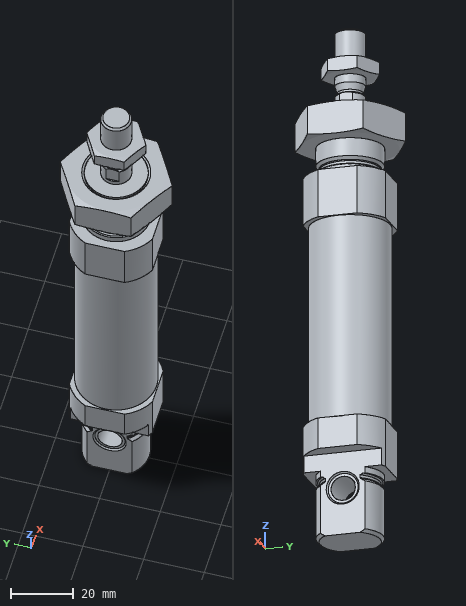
import cadquery as cq
import math


rod_tip = 171.5
rod_diameter = 10.0
tip_chamfer = 0.7
relief_diameter = 8.4
relief_taper_top = 153.3
relief_top = 151.1
relief_bottom = 150.2
shoulder_chamfer = 0.5
shank_top = relief_bottom - shoulder_chamfer
wrench_flat_width = 9.0
wrench_flat_bottom = 145.0

lock_nut_width = 17.0
lock_nut_bottom = 156.0
lock_nut_height = 5.0
lock_nut_face_diameter = 16.1

mount_nut_width = 32.0
mount_nut_top = 143.4
mount_nut_height = 11.0
mount_nut_bottom = mount_nut_top - mount_nut_height
mount_nut_face_diameter = 31.5
nut_chamfer_angle = math.radians(15)

tube_diameter = 26.5
cap_diameter = 30.4
cap_width = 27.5
front_cap_top = 121.6
front_cap_bottom = 105.6
rear_cap_top = 37.9
rear_cap_bottom = 22.0
collar_diameter = 22.0
nose_diameter = 20.4
thread_depth = (collar_diameter - nose_diameter) / 2

groove_diameter = 19.7
collar_land = 2.0
groove_width = 2.7
groove_depth = (collar_diameter - groove_diameter) / 2
groove_fillet = 0.5

tail_chamfer = 1.0
eye_thickness = 16.1
eye_shoulder = 27.6
pin_hole_height = 15.6
pin_hole_diameter = 8.0
pin_hole_recess_diameter = 10.0
pin_hole_mouth_diameter = 11.0
pin_hole_recess_depth = 0.5


def cylinder(diameter, bottom, top):
    return cq.Workplane("XY").workplane(offset=bottom).circle(diameter / 2).extrude(top - bottom)


def slab(x_size, y_size, bottom, top):
    return cq.Workplane("XY").workplane(offset=bottom).rect(x_size, y_size).extrude(top - bottom)


def cone(bottom_diameter, top_diameter, bottom, top):
    solid = cq.Solid.makeCone(
        bottom_diameter / 2, top_diameter / 2, top - bottom, cq.Vector(0, 0, bottom)
    )
    return cq.Workplane(obj=solid)


def hex_nut(width, bottom, height, face_diameter):
    """Hexagonal blank with flats facing +X and -X and both ends chamfered to a round face."""
    across_corners = width / math.cos(math.pi / 6)
    blank = (
        cq.Workplane("XY").workplane(offset=bottom)
        .polygon(6, across_corners).extrude(height)
        .rotate((0, 0, 0), (0, 0, 1), 30)
    )
    corner_radius = across_corners / 2
    face_radius = face_diameter / 2
    drop = (corner_radius - face_radius) * math.tan(nut_chamfer_angle)
    envelope = (
        cq.Workplane("XZ")
        .moveTo(0, bottom)
        .lineTo(face_radius, bottom)
        .lineTo(corner_radius, bottom + drop)
        .lineTo(corner_radius, bottom + height - drop)
        .lineTo(face_radius, bottom + height)
        .lineTo(0, bottom + height)
        .close()
        .revolve(360, (0, 0, 0), (0, 1, 0))
    )
    return blank.intersect(envelope)


def make_rod():
    radius = rod_diameter / 2
    relief_radius = relief_diameter / 2
    rod = (
        cq.Workplane("XZ")
        .moveTo(0, mount_nut_top)
        .lineTo(radius, mount_nut_top)
        .lineTo(radius, shank_top)
        .lineTo(radius - shoulder_chamfer, relief_bottom)
        .lineTo(relief_radius, relief_bottom)
        .lineTo(relief_radius, relief_top)
        .lineTo(radius, relief_taper_top)
        .lineTo(radius, rod_tip - tip_chamfer)
        .lineTo(radius - tip_chamfer, rod_tip)
        .lineTo(0, rod_tip)
        .close()
        .revolve(360, (0, 0, 0), (0, 1, 0))
    )
    flat_zone = slab(rod_diameter, rod_diameter, wrench_flat_bottom, relief_bottom)
    kept_core = slab(wrench_flat_width, rod_diameter, wrench_flat_bottom, relief_bottom)
    return rod.cut(flat_zone.cut(kept_core))


def make_lock_nut():
    nut = hex_nut(lock_nut_width, lock_nut_bottom, lock_nut_height, lock_nut_face_diameter)
    return nut.cut(cylinder(rod_diameter, lock_nut_bottom, lock_nut_bottom + lock_nut_height))


def make_mount_nut():
    """Nut bored to fit the nose, with a countersink at each end of the bore.

    The lower countersink seats on the collar shoulder, the upper one stays open.
    """
    nut = hex_nut(mount_nut_width, mount_nut_bottom, mount_nut_height, mount_nut_face_diameter)
    nut = nut.cut(cylinder(nose_diameter, mount_nut_bottom, mount_nut_top))
    nut = nut.cut(cone(collar_diameter, nose_diameter, mount_nut_bottom, mount_nut_bottom + thread_depth))
    return nut.cut(cone(nose_diameter, collar_diameter, mount_nut_top - thread_depth, mount_nut_top))


def make_cap(bottom, top):
    """Round cap with four flats facing X and Y."""
    return cylinder(cap_diameter, bottom, top).intersect(slab(cap_width, cap_width, bottom, top))


def undercut(cap_face, outward):
    """Ring that cuts the groove: a square wall beside the cap and a 45 degree wall beyond.

    A fillet rounds the corner between the groove floor and each wall.
    """
    outer = collar_diameter / 2
    inner = groove_diameter / 2
    near = cap_face + outward * collar_land
    far = near + outward * groove_width
    slope_foot = far - outward * groove_depth
    tangent = groove_fillet * math.tan(math.pi / 8)
    rise = tangent * math.cos(math.pi / 4)
    return (
        cq.Workplane("XZ")
        .moveTo(outer, near)
        .lineTo(inner + groove_fillet, near)
        .radiusArc((inner, near + outward * groove_fillet), -outward * groove_fillet)
        .lineTo(inner, slope_foot - outward * tangent)
        .radiusArc((inner + rise, slope_foot + outward * rise), -outward * groove_fillet)
        .lineTo(outer, far)
        .close()
        .revolve(360, (0, 0, 0), (0, 1, 0))
    )


def make_front_collar():
    collar = cylinder(collar_diameter, front_cap_top, mount_nut_bottom)
    shoulder = cone(collar_diameter, nose_diameter, mount_nut_bottom, mount_nut_bottom + thread_depth)
    nose = cylinder(nose_diameter, mount_nut_bottom, mount_nut_top)
    return collar.union(shoulder).union(nose).cut(undercut(front_cap_top, 1))


def make_rear_collar():
    collar = cylinder(collar_diameter, 0, rear_cap_bottom).faces("<Z").chamfer(tail_chamfer)
    return collar.cut(undercut(rear_cap_bottom, -1))


def cut_eye(housing):
    """Flatten the tail to the eye thickness and drill the pin hole along X.

    Each mouth of the hole is a shallow tapered recess with a flat floor.
    """
    eye_zone = slab(cap_diameter, cap_diameter, 0, eye_shoulder)
    eye_core = slab(eye_thickness, cap_diameter, 0, eye_shoulder)
    housing = housing.cut(eye_zone.cut(eye_core))

    half = eye_thickness / 2
    hole_radius = pin_hole_diameter / 2
    mouth_radius = pin_hole_mouth_diameter / 2
    recess_radius = pin_hole_recess_diameter / 2
    floor = half - pin_hole_recess_depth
    pin_hole = (
        cq.Workplane("XZ")
        .moveTo(-half, pin_hole_height)
        .lineTo(-half, pin_hole_height + mouth_radius)
        .lineTo(-floor, pin_hole_height + recess_radius)
        .lineTo(-floor, pin_hole_height + hole_radius)
        .lineTo(floor, pin_hole_height + hole_radius)
        .lineTo(floor, pin_hole_height + recess_radius)
        .lineTo(half, pin_hole_height + mouth_radius)
        .lineTo(half, pin_hole_height)
        .close()
        .revolve(360, (0, pin_hole_height, 0), (1, pin_hole_height, 0))
    )
    return housing.cut(pin_hole)


def make_housing():
    housing = (
        make_rear_collar()
        .union(make_cap(rear_cap_bottom, rear_cap_top))
        .union(cylinder(tube_diameter, rear_cap_top, front_cap_bottom))
        .union(make_cap(front_cap_bottom, front_cap_top))
        .union(make_front_collar())
    )
    return cut_eye(housing)


housing = make_housing()
rod = make_rod()
lock_nut = make_lock_nut()
mount_nut = make_mount_nut()

result = cq.Compound.makeCompound(
    [body.solids().val() for body in (housing, rod, lock_nut, mount_nut)]
)